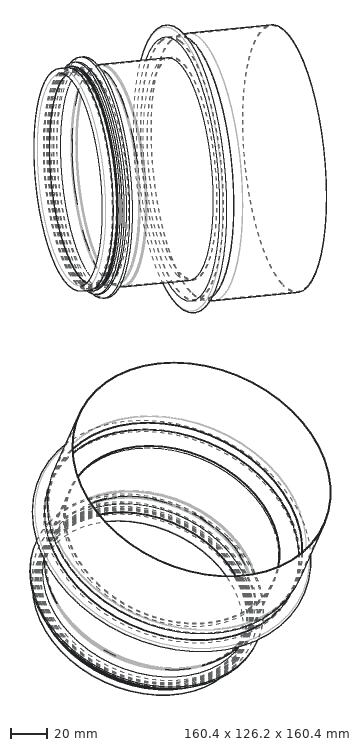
import cadquery as cq
import math

total_length = 126.2
wall = 0.56

socket_radius = 149.1 / 2
socket_neck_radius = 147.0 / 2
socket_neck_end = 72.5
socket_blend_end = 77.3

flange_radius = 160.4 / 2
flange_front = 64.1
flange_thickness = 2.2
flange_rear = flange_front + flange_thickness

spigot_radius = 124.1 / 2
groove_radius = 120.5 / 2
groove_front = 6.0
shoulder_front = 21.8
shoulder_rear = 25.2
shoulder_fillet = 1.6
lip_bore_radius = 118.2 / 2
lip_depth = 8.7
lip_round_radius = (spigot_radius - lip_bore_radius) / 2

seal_radius = 123.0 / 2
seal_rear = 15.4
fins = [
    (125 / 2, 8.0, 0.6),
    (129.4 / 2, 10.1, 1.3),
    (134.4 / 2, 13.8, 1.6),
]


def revolve(profile):
    """Turn a closed (radius, y) profile about the Y axis."""
    return profile.close().revolve(360, (0, 0, 0), (0, 1, 0))


def ring(inner_radius, outer_radius, front, rear):
    profile = (
        cq.Workplane("XY")
        .moveTo(inner_radius, front)
        .lineTo(outer_radius, front)
        .lineTo(outer_radius, rear)
        .lineTo(inner_radius, rear)
    )
    return revolve(profile)


def make_socket_tube():
    """Large tube narrowing through a convex blend to the neck on the flange."""
    rise = socket_radius - socket_neck_radius
    run = socket_blend_end - socket_neck_end
    blend_radius = (run**2 + rise**2) / (2 * rise)
    half_angle = math.asin(run / blend_radius) / 2
    mid_radius = socket_radius - blend_radius * (1 - math.cos(half_angle))
    mid_y = socket_blend_end - blend_radius * math.sin(half_angle)
    profile = (
        cq.Workplane("XY")
        .moveTo(socket_neck_radius, flange_rear)
        .lineTo(socket_neck_radius, socket_neck_end)
        .threePointArc((mid_radius, mid_y), (socket_radius, socket_blend_end))
        .lineTo(socket_radius, total_length)
        .lineTo(socket_radius - wall, total_length)
        .lineTo(socket_radius - wall, socket_blend_end)
        .threePointArc((mid_radius - wall, mid_y), (socket_neck_radius - wall, socket_neck_end))
        .lineTo(socket_neck_radius - wall, flange_rear)
    )
    return revolve(profile)


def make_flange_ring():
    """Flat ring with a fully rounded rim."""
    rim_radius = flange_thickness / 2
    rim_start = flange_radius - rim_radius
    profile = (
        cq.Workplane("XY")
        .moveTo(socket_neck_radius, flange_front)
        .lineTo(rim_start, flange_front)
        .threePointArc((flange_radius, flange_front + rim_radius), (rim_start, flange_rear))
        .lineTo(socket_neck_radius, flange_rear)
    )
    return revolve(profile)


def make_closing_plate():
    """Annular plate that fills the flange ring around the spigot."""
    return ring(spigot_radius, socket_neck_radius, flange_front, flange_rear)


def make_spigot_tube():
    """Small tube with a seal groove and a thickened, fully rounded front lip."""
    lip_center = spigot_radius - lip_round_radius
    profile = (
        cq.Workplane("XY")
        .moveTo(spigot_radius, lip_round_radius)
        .lineTo(spigot_radius, groove_front)
        .lineTo(groove_radius, groove_front)
        .lineTo(groove_radius, shoulder_front)
        .lineTo(spigot_radius, shoulder_rear)
        .lineTo(spigot_radius, flange_rear)
        .lineTo(spigot_radius - wall, flange_rear)
        .lineTo(spigot_radius - wall, shoulder_rear)
        .lineTo(groove_radius - wall, shoulder_front)
        .lineTo(groove_radius - wall, lip_depth)
        .lineTo(lip_bore_radius, lip_depth)
        .lineTo(lip_bore_radius, lip_round_radius)
        .threePointArc((lip_center, 0), (spigot_radius, lip_round_radius))
    )
    reach = wall / 2
    spigot = revolve(profile)
    for bend_y in (shoulder_front, shoulder_rear):
        bend = cq.selectors.BoxSelector((-reach, bend_y - reach, -reach), (reach, bend_y + reach, reach))
        spigot = spigot.edges(bend).fillet(shoulder_fillet)
    return spigot.solids()


def make_seal():
    """Sleeve seated in the spigot groove, with fins growing toward the rear."""
    seal = ring(groove_radius, seal_radius, groove_front, seal_rear)
    for fin_radius, fin_front, fin_thickness in fins:
        seal = seal.union(ring(groove_radius, fin_radius, fin_front, fin_front + fin_thickness))
    return seal.solids()


socket_tube = make_socket_tube()
flange_ring = make_flange_ring()
closing_plate = make_closing_plate()
spigot_tube = make_spigot_tube()
seal = make_seal()

result = cq.Compound.makeCompound([
    socket_tube.val(),
    flange_ring.val(),
    closing_plate.val(),
    spigot_tube.val(),
    seal.val(),
])